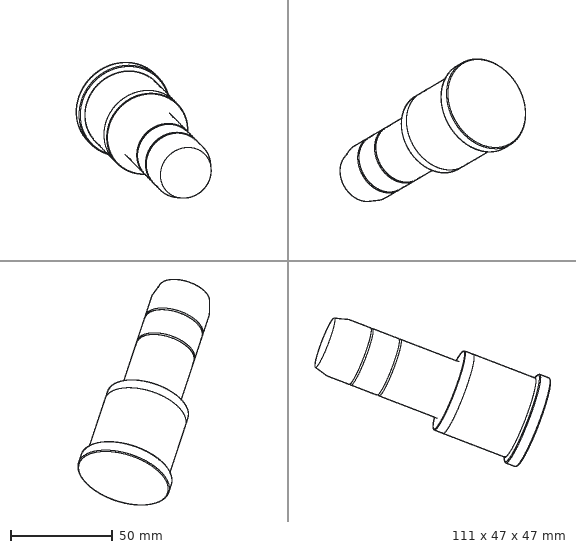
import cadquery as cq
import math

total_length = 111.0

flange_diameter = 47.0
flange_length = 6.0
body_diameter = 42.0
body_end = 45.0
body_lead_length = 5.0
body_lead_diameter = body_diameter - 0.05
shank_diameter = 30.0

flange_chamfer = 0.5
body_chamfer = 0.3
shoulder_fillet = 0.7

taper_length = 7.0
taper_angle = 15.0

groove_width = 1.0
groove_depth = 0.39
groove_spacing = 15.0
first_groove_start = 76.4


def section(start, end, diameter):
    """Plain cylinder along X between two stations."""
    return cq.Workplane("YZ", origin=(start, 0, 0)).circle(diameter / 2).extrude(end - start)


def arc_groove(start, width, diameter):
    """Ring that cuts a groove of arc-shaped section into a cylinder."""
    surface = diameter / 2
    return (
        cq.Workplane("XY")
        .moveTo(start, surface)
        .threePointArc((start + width / 2, surface - groove_depth), (start + width, surface))
        .close()
        .revolve(360, (0, 0, 0), (1, 0, 0))
    )


def make_flange():
    return section(0, flange_length, flange_diameter).edges().chamfer(flange_chamfer)


def make_body():
    """Cylinder with a very slightly reduced, chamfered lead at the shank end."""
    lead_start = body_end - body_lead_length
    lead = section(lead_start, body_end, body_lead_diameter).edges(">X").chamfer(body_chamfer)
    return section(flange_length, lead_start, body_diameter).union(lead)


def make_shank():
    """Cylinder with a conical lead-in at its free end."""
    taper_drop = taper_length * math.tan(math.radians(taper_angle))
    shank = section(body_end, total_length, shank_diameter)
    return shank.faces(">X").chamfer(taper_length, taper_drop)


def make_shoulder_fillet():
    """Concave ring that blends the shank into the end face of the body."""
    surface = shank_diameter / 2
    arc_offset = shoulder_fillet * (1 - math.sqrt(0.5))
    return (
        cq.Workplane("XY")
        .moveTo(body_end, surface)
        .lineTo(body_end + shoulder_fillet, surface)
        .threePointArc((body_end + arc_offset, surface + arc_offset), (body_end, surface + shoulder_fillet))
        .close()
        .revolve(360, (0, 0, 0), (1, 0, 0))
    )


result = make_flange().union(make_body()).union(make_shank()).union(make_shoulder_fillet())

result = result.cut(arc_groove(flange_length, groove_width, body_diameter))

for groove_index in range(2):
    groove_start = first_groove_start + groove_index * groove_spacing
    result = result.cut(arc_groove(groove_start, groove_width, shank_diameter))